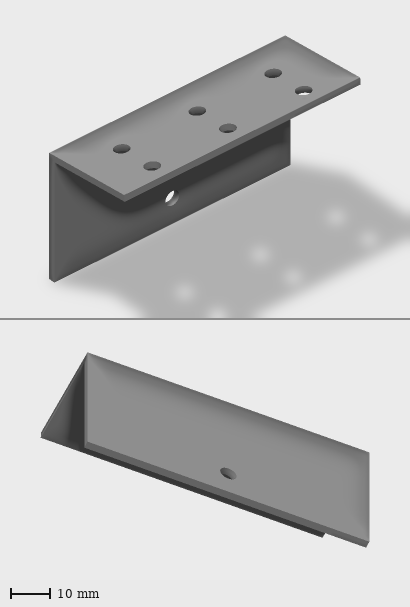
import cadquery as cq
import math

length = 78.0
thickness = 2.0
wall_height = 40.0
flange_length = 30.0
flange_slope = 7.2

hole_diameter = 4.5
flange_hole_distances = (12.1, 24.3)
flange_hole_pitch = 25.0
flange_hole_rows = 3
wall_hole_height = 8.1

slope = math.radians(flange_slope)
along_flange = (math.cos(slope), math.sin(slope))
flange_normal = (-math.sin(slope), math.cos(slope))


def flange_point(distance, depth):
    """X and Z of a point along the flange, at a depth below its upper face."""
    x = distance * along_flange[0] - depth * flange_normal[0]
    z = wall_height + distance * along_flange[1] - depth * flange_normal[1]
    return x, z


def make_bracket():
    """Upright wall and sloping flange, with sharp corners at the bend."""
    inner_corner_z = wall_height + thickness * math.tan(slope) - thickness / math.cos(slope)
    return (
        cq.Workplane("XZ")
        .moveTo(0, 0)
        .lineTo(thickness, 0)
        .lineTo(thickness, inner_corner_z)
        .lineTo(*flange_point(flange_length, thickness))
        .lineTo(*flange_point(flange_length, 0))
        .lineTo(0, wall_height)
        .close()
        .extrude(length / 2, both=True)
    )


def make_flange_holes():
    """Grid of through holes square to the sloping flange."""
    flange_face = cq.Plane(
        origin=(0, 0, wall_height),
        xDir=(along_flange[0], 0, along_flange[1]),
        normal=(flange_normal[0], 0, flange_normal[1]),
    )
    middle_row = (flange_hole_rows - 1) / 2
    centres = [
        (distance, (row - middle_row) * flange_hole_pitch)
        for distance in flange_hole_distances
        for row in range(flange_hole_rows)
    ]
    return (
        cq.Workplane(flange_face)
        .pushPoints(centres)
        .circle(hole_diameter / 2)
        .extrude(2 * thickness, both=True)
    )


def make_wall_hole():
    """Single through hole low on the wall, midway along its length."""
    return (
        cq.Workplane("YZ")
        .center(0, wall_hole_height)
        .circle(hole_diameter / 2)
        .extrude(2 * thickness, both=True)
    )


result = make_bracket().cut(make_flange_holes()).cut(make_wall_hole())